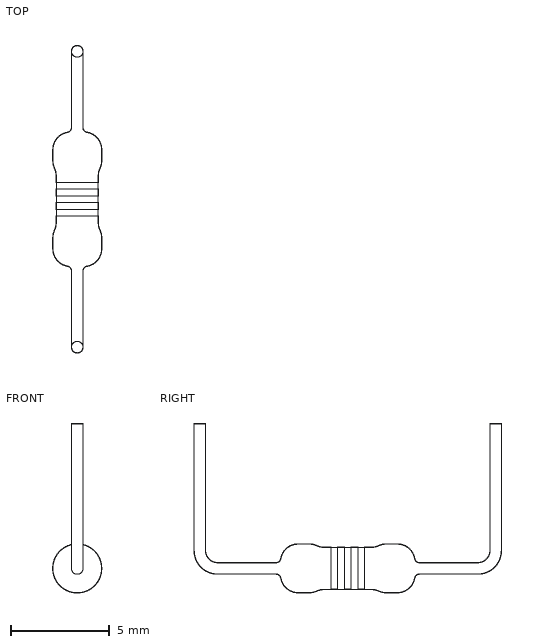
import cadquery as cq
import math

overall_length = 15.6
body_diameter = 2.5
waist_diameter = 2.15
band_diameter = 2.12
lead_diameter = 0.6
lead_top = 7.35
bend_radius = 0.9

band_width = 0.35
band_count = 3
shoulder_length = 0.75
cap_length = 0.56
dome_radius = 0.9
collar_radius = 0.23

body_radius = body_diameter / 2
waist_radius = waist_diameter / 2
lead_radius = lead_diameter / 2
lead_y = overall_length / 2 - lead_radius

band_pitch = 2 * band_width
waist_end = (2 * band_count + 1) * band_width / 2
shoulder_end = waist_end + shoulder_length
cap_end = shoulder_end + cap_length

dome_center_r = body_radius - dome_radius
collar_center_r = lead_radius + collar_radius
center_distance = dome_radius + collar_radius
center_rise = collar_center_r - dome_center_r
center_run = math.sqrt(center_distance**2 - center_rise**2)
body_end = cap_end + center_run
touch_angle = math.atan2(center_rise, center_run)


def dome_point(angle):
    """Point (radius, station) on the dome arc, angle from the axial direction."""
    return (
        dome_center_r + dome_radius * math.sin(angle),
        cap_end + dome_radius * math.cos(angle),
    )


def collar_point(angle):
    """Point (radius, station) on the collar arc, angle from the inward axial direction."""
    return (
        collar_center_r - collar_radius * math.sin(angle),
        body_end - collar_radius * math.cos(angle),
    )


def make_half_body():
    """Half of the turned body, from its middle to the +Y lead."""
    shoulder_middle = ((waist_radius + body_radius) / 2, waist_end + shoulder_length / 2)
    right_angle = math.pi / 2
    middle_angle = (touch_angle + right_angle) / 2
    return (
        cq.Workplane("XY")
        .moveTo(0, 0)
        .lineTo(waist_radius, 0)
        .lineTo(waist_radius, waist_end)
        .tangentArcPoint(shoulder_middle, relative=False)
        .tangentArcPoint((body_radius, shoulder_end), relative=False)
        .lineTo(body_radius, cap_end)
        .threePointArc(dome_point(middle_angle), dome_point(touch_angle))
        .threePointArc(collar_point(middle_angle), (lead_radius, body_end))
        .lineTo(0, body_end)
        .close()
        .revolve(360, (0, 0, 0), (0, 1, 0))
    )


def make_band_recess(station):
    """Ring of material to remove from the waist, leaving a slightly recessed colour band."""
    return (
        cq.Workplane("XZ", origin=(0, station + band_width / 2, 0))
        .circle(body_radius)
        .circle(band_diameter / 2)
        .extrude(band_width)
    )


def make_lead():
    """Round +Y lead, starting at the body end and bent up to +Z."""
    path = (
        cq.Workplane("YZ")
        .moveTo(body_end, 0)
        .lineTo(lead_y - bend_radius, 0)
        .tangentArcPoint((lead_y, bend_radius), relative=False)
        .lineTo(lead_y, lead_top)
    )
    return cq.Workplane("XZ", origin=(0, body_end, 0)).circle(lead_radius).sweep(path)


half = make_half_body().union(make_lead())
result = half.union(half.mirror("XZ"))
for index in range(band_count):
    result = result.cut(make_band_recess((index - (band_count - 1) / 2) * band_pitch))